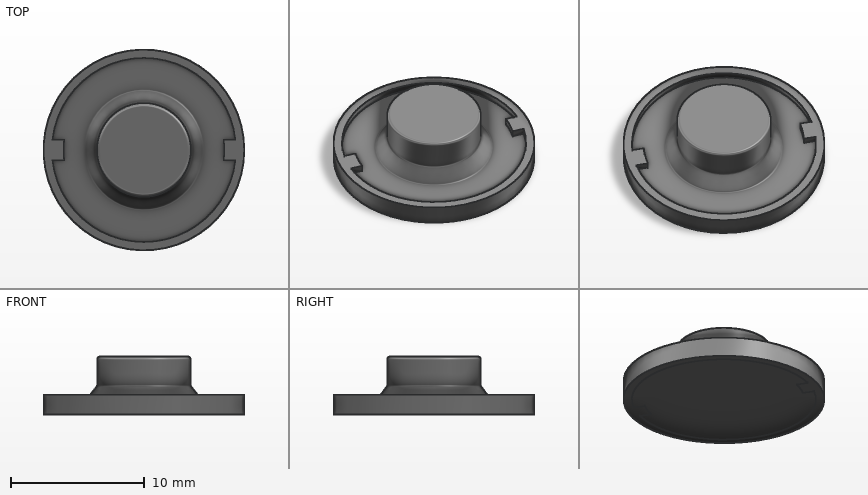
import cadquery as cq
import math

ring_diameter = 15.0
ring_height = 1.5
ring_wall = 0.63
tab_width = 1.5
tab_tip_diameter = 12.0

flange_recess = 0.5
button_diameter = 7.0
button_top = 4.35
button_edge_radius = 0.25
flare_top = 2.13
flare_foot_radius = 4.4
flare_top_blend = 0.25
flare_foot_blend = 0.25

ring_bore_diameter = ring_diameter - 2 * ring_wall
flange_top = ring_height - flange_recess
button_radius = button_diameter / 2


def disc(diameter, height):
    """Solid disc standing on the base plane."""
    return cq.Workplane("XY").circle(diameter / 2).extrude(height)


def ring_bore(height):
    """Space inside the ring: a disc with a notch around each key tab."""
    tabs = (
        cq.Workplane("XY")
        .rect(ring_diameter, tab_width)
        .extrude(height)
        .cut(disc(tab_tip_diameter, height))
    )
    return disc(ring_bore_diameter, height).cut(tabs)


def make_ring():
    """Outer ring whose tabs run the full height."""
    return disc(ring_diameter, ring_height).cut(ring_bore(ring_height))


def flared_stem():
    """Revolved button, with a rounded top and a conical foot blended at both ends."""
    flare_run = flare_foot_radius - button_radius
    flare_rise = flare_top - flange_top
    top_turn = math.atan2(flare_run, flare_rise)
    foot_turn = math.pi / 2 - top_turn
    top_tangent = flare_top_blend * math.tan(top_turn / 2)
    foot_tangent = flare_foot_blend * math.tan(foot_turn / 2)
    slope_r = math.sin(top_turn)
    slope_z = math.cos(top_turn)

    foot_outer = flare_foot_radius + foot_tangent
    foot_start = (foot_outer, flange_top)
    foot_end = (
        flare_foot_radius - foot_tangent * slope_r,
        flange_top + foot_tangent * slope_z,
    )
    foot_middle = (
        foot_outer - flare_foot_blend * math.sin(foot_turn / 2),
        flange_top + flare_foot_blend * (1 - math.cos(foot_turn / 2)),
    )
    blend_start = (
        button_radius + top_tangent * slope_r,
        flare_top - top_tangent * slope_z,
    )
    blend_end = (button_radius, flare_top + top_tangent)
    blend_middle = (
        button_radius + flare_top_blend * (1 - math.cos(top_turn / 2)),
        flare_top + top_tangent - flare_top_blend * math.sin(top_turn / 2),
    )
    return (
        cq.Workplane("XZ")
        .lineTo(foot_outer, 0)
        .lineTo(*foot_start)
        .threePointArc(foot_middle, foot_end)
        .lineTo(*blend_start)
        .threePointArc(blend_middle, blend_end)
        .lineTo(button_radius, button_top)
        .lineTo(0, button_top)
        .close()
        .revolve(360, (0, 0, 0), (0, 1, 0))
        .faces(">Z")
        .edges()
        .fillet(button_edge_radius)
    )


def make_button():
    """Button and its notched flange as one body."""
    return ring_bore(flange_top).union(flared_stem())


ring = make_ring()
button = make_button()
result = cq.Compound.makeCompound([ring.solids().val(), button.solids().val()])